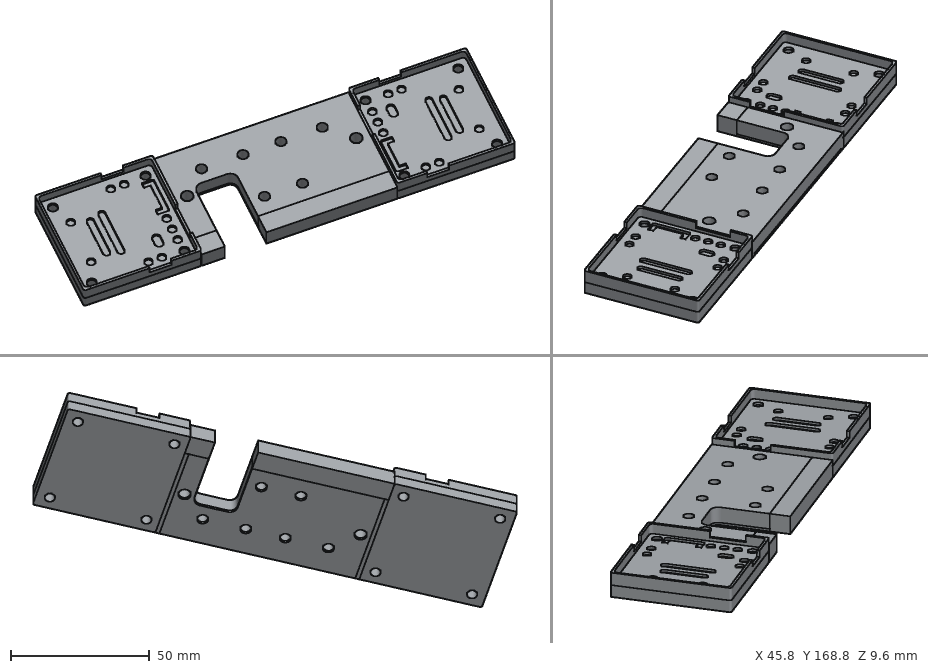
import cadquery as cq

LENGTH = 168.8
WIDTH = 45.8
HEIGHT = 9.6
CENTRE_LENGTH = 76.6
CORNER_RADIUS = 0.8
THROUGH = 2 * HEIGHT

MODULE_ANGLES = (0, 180)
BASE_HEIGHT = 4.7
FLOOR_THICKNESS = 1.0
FLOOR_Z = BASE_HEIGHT + FLOOR_THICKNESS
SIDE_WALL = 1.0
OUTER_END_WALL = 0.8
CAVITY_RADIUS = 1.4

SCREW_DIAMETER = 3.7
SCREW_X = 18.0
SCREW_Y_INNER = 43.0
SCREW_Y_OUTER = 79.3

PIN_DIAMETER = 3.2
OUTER_PIN_X = 9.5
OUTER_PIN_Y = 76.0
SIDE_PIN_X = 17.5
SIDE_PIN_YS = (51.7, 56.9)
ROW_PIN_XS = (-12.5, -7.5, -2.4)
ROW_PIN_Y = 43.4
SLOT_WIDTH = 2.7
SLOT_X = -0.3
SHORT_SLOT_LENGTH = 17.9
SHORT_SLOT_Y = 69.2
LONG_SLOT_LENGTH = 20.6
LONG_SLOT_Y = 64.2
OVAL_LENGTH = 5.7
OVAL_WIDTH = 3.2
OVAL_X = -10.1
OVAL_Y = 50.1
CHANNEL_LEFT = 0.5
CHANNEL_RIGHT = 15.5
CHANNEL_BOTTOM = 41.0
CHANNEL_TOP = 45.5
CHANNEL_ARM = 2.2
CHANNEL_WEB = 2.0
CHANNEL_RADIUS = 0.7

PLATE_HEIGHT = 7.1
SIDE_NOTCH_LENGTH = 8.6
SIDE_NOTCH_Y = 54.4
END_NOTCH_LENGTH = 13.7
END_NOTCH_X = ROW_PIN_XS[1]

STRIP_WIDTH = 7.8
STRIP_X = WIDTH / 2 - STRIP_WIDTH
COVER_THICKNESS = 1.0
COVER_LENGTH = 73.6
CUTOUT_X = -6.4
CUTOUT_Y_MIN = -29.2
CUTOUT_Y_MAX = -13.0
CUTOUT_RADIUS = 3.0
LARGE_HOLE_DIAMETER = 4.5
LARGE_HOLE_X = -3.0
LARGE_HOLE_Y = 33.1
SMALL_HOLE_DIAMETER = 4.0
SMALL_HOLE_LEFT_X = -12.2
SMALL_HOLE_RIGHT_X = 8.0
SMALL_HOLE_Y_NEAR = 7.5
SMALL_HOLE_Y_FAR = 23.6


def block(x_min, x_max, y_min, y_max, z_min, z_max):
    """Box between the given limits."""
    size = (x_max - x_min, y_max - y_min, z_max - z_min)
    return cq.Workplane("XY").box(*size, centered=False).translate((x_min, y_min, z_min))


def cylinders(points, diameter, z_min):
    """Upright cutters at the points, from z_min to above the part."""
    return cq.Workplane("XY").workplane(offset=z_min).pushPoints(points).circle(diameter / 2).extrude(THROUGH)


def long_hole(x, y, length, width):
    """Round-ended cutter along X that starts at the top of the base."""
    return cq.Workplane("XY", origin=(x, y, BASE_HEIGHT)).slot2D(length, width).extrude(THROUGH)


def module_block(z_min, z_max):
    """Round-cornered block with the outline of the +Y module."""
    body = block(-WIDTH / 2, WIDTH / 2, CENTRE_LENGTH / 2, LENGTH / 2, z_min, z_max)
    return body.edges("|Z").fillet(CORNER_RADIUS)


def screw_holes():
    points = [(x, y) for x in (-SCREW_X, SCREW_X) for y in (SCREW_Y_INNER, SCREW_Y_OUTER)]
    return cylinders(points, SCREW_DIAMETER, 0)


def pin_holes():
    """Round holes in the tray floor."""
    points = [(x, OUTER_PIN_Y) for x in (-OUTER_PIN_X, OUTER_PIN_X)]
    points += [(x, y) for x in (-SIDE_PIN_X, SIDE_PIN_X) for y in SIDE_PIN_YS]
    points += [(x, ROW_PIN_Y) for x in ROW_PIN_XS]
    return cylinders(points, PIN_DIAMETER, BASE_HEIGHT)


def channel():
    """U-shaped opening in the tray floor, with its arms toward +Y."""
    outer = block(CHANNEL_LEFT, CHANNEL_RIGHT, CHANNEL_BOTTOM, CHANNEL_TOP, BASE_HEIGHT, HEIGHT)
    outer = outer.edges("|Z and <Y").fillet(CHANNEL_RADIUS)
    inner = block(
        CHANNEL_LEFT + CHANNEL_ARM,
        CHANNEL_RIGHT - CHANNEL_ARM,
        CHANNEL_BOTTOM + CHANNEL_WEB,
        CHANNEL_TOP,
        BASE_HEIGHT,
        HEIGHT,
    )
    return outer.cut(inner)


def tray_cavity():
    cavity = block(
        SIDE_WALL - WIDTH / 2,
        WIDTH / 2 - SIDE_WALL,
        CENTRE_LENGTH / 2 + SIDE_WALL,
        LENGTH / 2 - OUTER_END_WALL,
        FLOOR_Z,
        HEIGHT,
    )
    return cavity.edges("|Z").fillet(CAVITY_RADIUS)


def wall_notches():
    """Notches in both side walls and in the wall next to the centre plate."""
    side = block(
        -WIDTH / 2,
        WIDTH / 2,
        SIDE_NOTCH_Y - SIDE_NOTCH_LENGTH / 2,
        SIDE_NOTCH_Y + SIDE_NOTCH_LENGTH / 2,
        PLATE_HEIGHT,
        HEIGHT,
    )
    end = block(
        END_NOTCH_X - END_NOTCH_LENGTH / 2,
        END_NOTCH_X + END_NOTCH_LENGTH / 2,
        CENTRE_LENGTH / 2,
        CENTRE_LENGTH / 2 + SIDE_WALL,
        PLATE_HEIGHT,
        HEIGHT,
    )
    return side.union(end)


def make_base(angle):
    """Solid block under a tray, turned about Z to its end of the part."""
    base = module_block(0, BASE_HEIGHT).cut(screw_holes())
    return base.rotate((0, 0, 0), (0, 0, 1), angle)


def make_tray(angle):
    """Open tray, turned about Z to its end of the part."""
    tray = module_block(BASE_HEIGHT, HEIGHT).cut(tray_cavity()).cut(wall_notches())
    tray = tray.cut(screw_holes()).cut(pin_holes()).cut(channel())
    tray = tray.cut(long_hole(SLOT_X, SHORT_SLOT_Y, SHORT_SLOT_LENGTH, SLOT_WIDTH))
    tray = tray.cut(long_hole(SLOT_X, LONG_SLOT_Y, LONG_SLOT_LENGTH, SLOT_WIDTH))
    tray = tray.cut(long_hole(OVAL_X, OVAL_Y, OVAL_LENGTH, OVAL_WIDTH))
    return tray.rotate((0, 0, 0), (0, 0, 1), angle)


def cutout():
    """Round-cornered gap that opens toward +X."""
    gap = block(CUTOUT_X, WIDTH, CUTOUT_Y_MIN, CUTOUT_Y_MAX, 0, HEIGHT)
    return gap.edges("|Z and <X").fillet(CUTOUT_RADIUS)


def centre_holes():
    """Holes through the centre plate and its cover."""
    large = [(LARGE_HOLE_X, y) for y in (-LARGE_HOLE_Y, LARGE_HOLE_Y)]
    small = [(SMALL_HOLE_RIGHT_X, y) for y in (-SMALL_HOLE_Y_NEAR, SMALL_HOLE_Y_NEAR)]
    for y in (SMALL_HOLE_Y_NEAR, SMALL_HOLE_Y_FAR):
        small += [(SMALL_HOLE_LEFT_X, -y), (SMALL_HOLE_LEFT_X, y)]
    return cylinders(large, LARGE_HOLE_DIAMETER, 0).union(cylinders(small, SMALL_HOLE_DIAMETER, 0))


def cover_block():
    return block(-WIDTH / 2, STRIP_X, -COVER_LENGTH / 2, COVER_LENGTH / 2, 0, COVER_THICKNESS)


def make_centre_plate():
    """Plate between the modules; its ends fill the gaps beside their rounded corners."""
    end_y = CENTRE_LENGTH / 2 + CORNER_RADIUS
    plate = block(-WIDTH / 2, STRIP_X, -end_y, end_y, 0, PLATE_HEIGHT)
    for angle in MODULE_ANGLES:
        plate = plate.cut(module_block(0, HEIGHT).rotate((0, 0, 0), (0, 0, 1), angle))
    return plate.cut(cover_block()).cut(cutout()).cut(centre_holes())


def make_cover():
    """Thin sheet let into the underside of the centre plate."""
    return cover_block().cut(cutout()).cut(centre_holes())


def make_strip(y_min, y_max):
    """Bar along the +X side of the centre plate."""
    return block(STRIP_X, WIDTH / 2, y_min, y_max, 0, PLATE_HEIGHT)


centre_plate = make_centre_plate()
cover = make_cover()
bases = [make_base(angle) for angle in MODULE_ANGLES]
trays = [make_tray(angle) for angle in MODULE_ANGLES]
strip_spans = ((-CENTRE_LENGTH / 2, CUTOUT_Y_MIN), (CUTOUT_Y_MAX, CENTRE_LENGTH / 2))
strips = [make_strip(y_min, y_max) for y_min, y_max in strip_spans]

bodies = [centre_plate, cover, *bases, *trays, *strips]
result = cq.Compound.makeCompound([body.solids().val() for body in bodies])